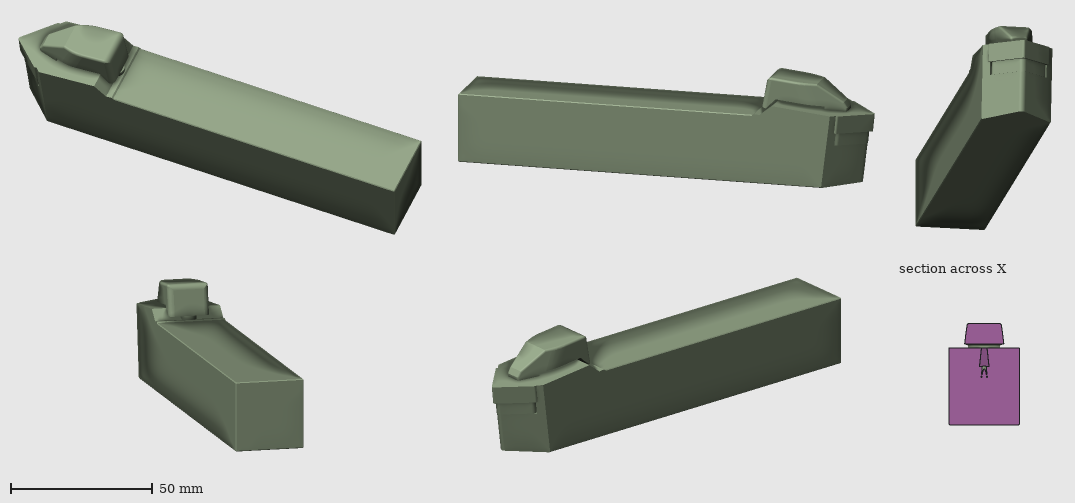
import cadquery as cq
import math

length = 149.7
width = 25.0
shank_height = 25.0
edge_chamfer = 0.3

tip_height = 25.1
tilt = math.radians(6.0)
along = (math.cos(tilt), 0, math.sin(tilt))
upright = (-math.sin(tilt), 0, math.cos(tilt))
head_plane = cq.Plane(origin=(0, 0, tip_height), xDir=along, normal=upright)
side_plane = cq.Plane(origin=(0, 0, tip_height), xDir=along, normal=(0, -1, 0))
clear = 89.8

crest_end = 34.5
ledge_start = 38.6
ledge_end = 40.7
ledge_drop = 4.0
ramp_length = 0.9
ramp_drop = 0.7
head_root = 12.0

insert_side = 15.9
insert_corner = 0.7
insert_thickness = 6.5

shim_setback = 1.3
shim_corner = 1.6
shim_thickness = 4.6
nose_step = 0.1
flank_tilt = math.radians(7.0)


def corner_loss(radius):
    """Distance a rounded right-angled corner falls short of its sharp point."""
    return radius * (math.sqrt(2) - 1)


insert_half = insert_side / math.sqrt(2)
center = insert_half - corner_loss(insert_corner)
shim_half = center - shim_setback + corner_loss(shim_corner)
seat = -insert_thickness
floor = seat - shim_thickness

clamp_half_width = 7.5
nose_start = 9.5
nose_edge = 1.2
bevel_end = 11.0
bevel_height = 3.1
brow = 20.8
clamp_height = 8.7
clamp_back_top = 38.8
clamp_back = 39.7
contact_end = 17.0
clamp_gap = 1.2
heel_start = 34.7
heel_step = 37.9
heel_drop = 2.7
arc_end = 24.5
arc_radius = 16.5
taper = math.radians(20.0)
side_lean = math.radians(27.0)
clamp_rise = clamp_height + heel_drop
back_corner = 2.0
back_top_round = 2.2
rim_round = 0.9
foot_diameter = 5.8
foot_center = 37.4


def square_plate(half_diagonal, corner, top, thickness):
    """Square plate standing on its corner, centred on the insert axis."""
    return (
        cq.Workplane(head_plane)
        .workplane(offset=top - thickness)
        .center(center, 0)
        .polyline([(-half_diagonal, 0), (0, half_diagonal), (half_diagonal, 0), (0, -half_diagonal)])
        .close()
        .extrude(thickness)
        .edges(cq.selectors.ParallelDirSelector(cq.Vector(*upright)))
        .fillet(corner)
    )


def pocket(back, bottom):
    """V-shaped space in front of two walls that meet at the given back corner."""
    return (
        cq.Workplane(head_plane)
        .workplane(offset=bottom)
        .polyline([(back, 0), (back - clear, clear), (back - clear, -clear)])
        .close()
        .extrude(clear)
    )


def side_prism(points, prism_width):
    """Side profile in the tilted head frame, extruded evenly about the mid plane."""
    return cq.Workplane(side_plane).polyline(points).close().extrude(prism_width / 2, both=True)


def nearest_edges(part, head_points):
    """The edge of the part nearest to each point, given in the tilted head frame."""
    nearest = [
        part.edges(cq.selectors.NearestToPointSelector(head_plane.toWorldCoords(point).toTuple())).val()
        for point in head_points
    ]
    return part.newObject(nearest)


def make_shank():
    shank = cq.Workplane("XY").box(length, width, shank_height, centered=(False, True, False))
    return shank.edges("|X or >X").chamfer(edge_chamfer)


def make_head():
    ramp_end = ledge_end + ramp_length
    return side_prism(
        [
            (0, 0),
            (crest_end, 0),
            (ledge_start, -ledge_drop),
            (ledge_end, -ledge_drop),
            (ramp_end, -ledge_drop - ramp_drop),
            (ramp_end, -head_root),
            (0, -head_root),
        ],
        width,
    )


def make_flanks():
    """Space behind the two front flanks and their rounded nose."""
    nose = head_plane.toWorldCoords((shim_setback + nose_step, 0, floor))
    flank_plane = cq.Plane(
        origin=nose,
        xDir=(math.cos(flank_tilt), 0, math.sin(flank_tilt)),
        normal=(-math.sin(flank_tilt), 0, math.cos(flank_tilt)),
    )
    apex = -corner_loss(shim_corner)
    reach = apex + width
    rear = 2 * length
    return (
        cq.Workplane(flank_plane)
        .workplane(offset=-clear)
        .polyline([(apex, 0), (reach, width), (rear, width), (rear, -width), (reach, -width)])
        .close()
        .extrude(2 * clear)
        .edges("<X")
        .fillet(shim_corner)
    )


def leaning_prism(outline, lean):
    """Prism as tall as the clamp whose top is moved along the clamp axis by the lean."""
    top_shift = head_plane.toWorldCoords((lean, 0, clamp_rise)) - head_plane.origin
    return cq.Workplane(cq.Solid.extrudeLinear(outline.val(), [], top_shift))


def make_clamp_outline():
    """Prism on the plan outline of the clamp, sheared backward so that the tapered sides lean."""
    arc_start = arc_end - arc_radius * math.sin(taper)
    arc_start_y = clamp_half_width - arc_radius * (1 - math.cos(taper))
    arc_mid = arc_end - arc_radius * math.sin(taper / 2)
    arc_mid_y = clamp_half_width - arc_radius * (1 - math.cos(taper / 2))
    front = arc_start - arc_start_y / math.tan(taper)
    rear = 2 * clamp_back
    drop_shift = heel_drop * math.tan(side_lean)
    outline = (
        cq.Workplane(head_plane)
        .workplane(offset=-heel_drop)
        .center(-drop_shift, 0)
        .moveTo(front, 0)
        .lineTo(arc_start, arc_start_y)
        .threePointArc((arc_mid, arc_mid_y), (arc_end, clamp_half_width))
        .lineTo(rear, clamp_half_width)
        .lineTo(rear, -clamp_half_width)
        .lineTo(arc_end, -clamp_half_width)
        .threePointArc((arc_mid, -arc_mid_y), (arc_start, -arc_start_y))
        .close()
    )
    return leaning_prism(outline, clamp_rise * math.tan(side_lean))


def make_clamp_back():
    """Block with rounded rear corners that lean forward with the clamp's back face."""
    corner_start = clamp_back - back_corner
    corner_y = clamp_half_width - back_corner
    outline = (
        cq.Workplane(head_plane)
        .workplane(offset=-heel_drop)
        .moveTo(0, clamp_half_width)
        .lineTo(corner_start, clamp_half_width)
        .radiusArc((clamp_back, corner_y), back_corner)
        .lineTo(clamp_back, -corner_y)
        .radiusArc((corner_start, -clamp_half_width), back_corner)
        .lineTo(0, -clamp_half_width)
        .close()
    )
    return leaning_prism(outline, clamp_back_top - clamp_back)


def make_clamp():
    profile = side_prism(
        [
            (nose_start, 0),
            (nose_start, nose_edge),
            (bevel_end, bevel_height),
            (brow, clamp_height),
            (clamp_back_top, clamp_height),
            (clamp_back, -heel_drop),
            (heel_step, -heel_drop),
            (heel_start, clamp_gap),
            (contact_end, clamp_gap),
            (contact_end, 0),
        ],
        width,
    )
    back_top = (clamp_back_top, 0, clamp_height)
    profile = nearest_edges(profile, [back_top]).fillet(back_top_round)
    clamp = profile.intersect(make_clamp_outline())
    rim_points = [
        (nose_start, nose_edge / 2),
        ((nose_start + bevel_end) / 2, (nose_edge + bevel_height) / 2),
        ((bevel_end + brow) / 2, (bevel_height + clamp_height) / 2),
        ((arc_end + clamp_back) / 2, clamp_height),
    ]
    rims = [(x, side * clamp_half_width, z) for x, z in rim_points for side in (1, -1)]
    clamp = nearest_edges(clamp, rims).fillet(rim_round)
    return clamp.intersect(make_clamp_back())


def make_clamp_foot():
    return (
        cq.Workplane(head_plane)
        .workplane(offset=-ledge_drop)
        .center(foot_center, 0)
        .circle(foot_diameter / 2)
        .extrude(ledge_drop - heel_drop)
    )


def make_insert():
    return square_plate(insert_half, insert_corner, 0, insert_thickness)


def make_holder():
    body = make_shank().union(make_head()).intersect(make_flanks())
    body = body.cut(pocket(center + insert_half, seat)).cut(pocket(center + shim_half, floor))
    shim = square_plate(shim_half, shim_corner, seat, shim_thickness)
    return body.union(shim).union(make_clamp_foot()).union(make_clamp())


holder = make_holder()
insert = make_insert()
result = cq.Compound.makeCompound([holder.val(), insert.val()])